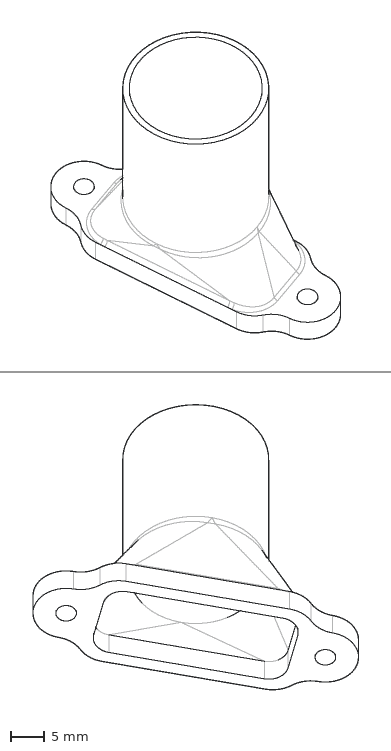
import cadquery as cq
import math

length = 50.0
flange_thickness = 4.0
flange_width = 16.5
ear_radius = 5.0
blend_radius = 5.0
hole_diameter = 3.1
hole_spacing = length - 2 * ear_radius

height = 40.0
wall = 1.0
tube_outer_radius = 11.0
tube_inner_radius = tube_outer_radius - wall

hood_top = 14.0
port_length = 30.0
port_width = 12.5
port_corner_radius = 3.0
hood_length = 32.4
hood_width = 14.6
hood_corner_radius = 4.1
foot_fillet = 0.7

neck_bottom = 13.5
neck_top = 14.6

margin = 0.05
same_point = 5e-07


def flange():
    """Plate with a wide middle that blends through S-curves into two round ears."""
    ear_x = hole_spacing / 2
    half_width = flange_width / 2
    rise = 2 * blend_radius - (half_width - ear_radius)
    run = math.sqrt((2 * blend_radius) ** 2 - rise**2)
    flat_x = ear_x - run
    mid_x = ear_x - run / 2
    mid_y = (half_width + ear_radius) / 2
    plate = (
        cq.Workplane("XY")
        .moveTo(-flat_x, half_width)
        .lineTo(flat_x, half_width)
        .tangentArcPoint((mid_x, mid_y), relative=False)
        .tangentArcPoint((ear_x, ear_radius), relative=False)
        .threePointArc((length / 2, 0), (ear_x, -ear_radius))
        .tangentArcPoint((mid_x, -mid_y), relative=False)
        .tangentArcPoint((flat_x, -half_width), relative=False)
        .lineTo(-flat_x, -half_width)
        .tangentArcPoint((-mid_x, -mid_y), relative=False)
        .tangentArcPoint((-ear_x, -ear_radius), relative=False)
        .threePointArc((-length / 2, 0), (-ear_x, ear_radius))
        .tangentArcPoint((-mid_x, mid_y), relative=False)
        .tangentArcPoint((-flat_x, half_width), relative=False)
        .close()
        .extrude(flange_thickness)
    )
    holes = (
        cq.Workplane("XY")
        .pushPoints([(-ear_x, 0), (ear_x, 0)])
        .circle(hole_diameter / 2)
        .extrude(flange_thickness)
    )
    return plate.cut(holes)


def section(size_x, size_y, radius, z):
    """Rounded rectangle given as half straight lengths, corner radius and height."""
    return (size_x / 2 - radius, size_y / 2 - radius, radius, z)


def circle_section(radius, z):
    """A circle is a rounded rectangle without straight sides."""
    return section(2 * radius, 2 * radius, radius, z)


def section_between(low, high, z):
    share = (z - low[3]) / (high[3] - low[3])
    return tuple(a + share * (b - a) for a, b in zip(low, high))


def corner_arcs(outline):
    """The four quarter-circle corners of a section, counterclockwise from +X +Y."""
    flat_x, flat_y, radius, z = outline
    arcs = []
    for quadrant, (sign_x, sign_y) in enumerate([(1, 1), (-1, 1), (-1, -1), (1, -1)]):
        points = []
        for step in range(3):
            angle = (quadrant + step / 2) * math.pi / 2
            x = sign_x * flat_x + radius * math.cos(angle)
            y = sign_y * flat_y + radius * math.sin(angle)
            points.append(cq.Vector(x, y, z))
        arcs.append(cq.Edge.makeThreePointArc(*points))
    return arcs


def section_face(arcs):
    """Flat cap bounded by the corner arcs and the straight sides between them."""
    edges = []
    for arc, following in zip(arcs, arcs[1:] + arcs[:1]):
        edges.append(arc)
        if (following.startPoint() - arc.endPoint()).Length > same_point:
            edges.append(cq.Edge.makeLine(arc.endPoint(), following.startPoint()))
    return cq.Face.makeFromWires(cq.Wire.assembleEdges(edges))


def transition(low, high):
    """Solid between two sections: flat sides joined by conical corners."""
    low_arcs = corner_arcs(low)
    high_arcs = corner_arcs(high)
    faces = [section_face(low_arcs), section_face(high_arcs)]
    for i in range(4):
        j = (i + 1) % 4
        faces.append(cq.Face.makeRuledSurface(low_arcs[i], high_arcs[i]))
        side = [low_arcs[i].endPoint(), low_arcs[j].startPoint(), high_arcs[j].startPoint()]
        if (high_arcs[j].startPoint() - high_arcs[i].endPoint()).Length > same_point:
            side.append(high_arcs[i].endPoint())
        faces.append(cq.Face.makeFromWires(cq.Wire.makePolygon(side, close=True)))
    solid = cq.Solid.makeSolid(cq.Shell.makeShell(faces))
    return cq.Workplane(solid.fix())


def tube(radius, bottom):
    return cq.Workplane("XY").workplane(offset=bottom).circle(radius).extrude(height - bottom)


def outer_body():
    """Flange, hood, eased neck and tube, with a fillet where the hood stands on the flange."""
    base = section(hood_length, hood_width, hood_corner_radius, flange_thickness)
    rim = circle_section(tube_outer_radius, hood_top)
    neck_low = section_between(base, rim, neck_bottom)
    neck_high = circle_section(tube_outer_radius, neck_top)
    body = (
        flange()
        .union(transition(base, neck_low))
        .union(transition(neck_low, neck_high))
        .union(tube(tube_outer_radius, neck_top))
    )
    foot_zone = cq.selectors.BoxSelector(
        (-hood_length / 2 - margin, -hood_width / 2 - margin, flange_thickness - margin),
        (hood_length / 2 + margin, hood_width / 2 + margin, flange_thickness + margin),
        boundingbox=True,
    )
    return body.edges(foot_zone).fillet(foot_fillet)


def passage():
    """Straight port through the flange, narrowing hood cavity and tube bore."""
    port = (
        cq.Workplane("XY")
        .rect(port_length, port_width)
        .extrude(flange_thickness)
        .edges("|Z")
        .fillet(port_corner_radius)
    )
    base = section(port_length, port_width, port_corner_radius, flange_thickness)
    rim = circle_section(tube_inner_radius, hood_top)
    return port.union(transition(base, rim)).union(tube(tube_inner_radius, hood_top))


result = outer_body().cut(passage())